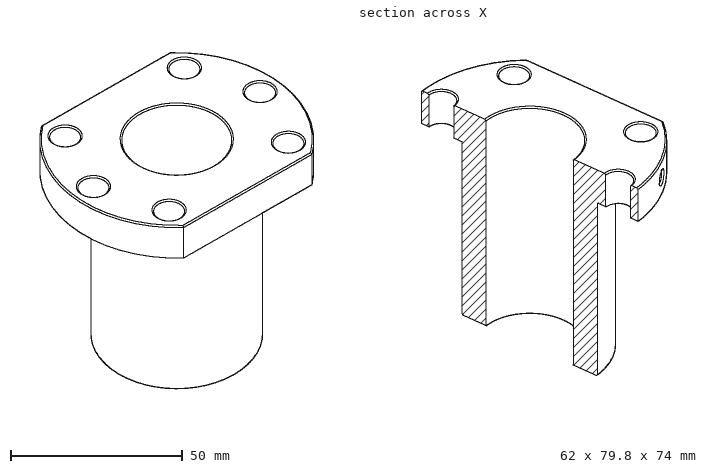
import cadquery as cq
import math

flange_diameter = 79.75
flange_width = 62.0
flange_thickness = 12.0

body_diameter = 50.0
bore_diameter = 32.0
total_height = 74.0

mount_hole_diameter = 9.0
mount_circle_diameter = 65.0
mount_hole_spacing = 44.3

oil_hole_diameter = 4.0
oil_mouth_diameter = 5.2
oil_hole_depth = 9.6
oil_hole_angle = 90.0 + mount_hole_spacing / 2

edge_chamfer = 0.5


def make_flange():
    disc = cq.Workplane("XY").circle(flange_diameter / 2).extrude(-flange_thickness)
    flats = cq.Workplane("XY").rect(flange_width, flange_diameter).extrude(-flange_thickness)
    return disc.intersect(flats).faces(">Z").chamfer(edge_chamfer)


def make_body():
    body = cq.Workplane("XY").workplane(offset=-flange_thickness).circle(body_diameter / 2)
    body = body.extrude(flange_thickness - total_height)
    return body.faces("<Z").chamfer(edge_chamfer)


def hole_cutter(diameter, depth):
    """Hole going down from Z = 0, with a chamfered mouth."""
    radius = diameter / 2
    profile = (
        cq.Workplane("XZ")
        .lineTo(radius + edge_chamfer, 0)
        .lineTo(radius, -edge_chamfer)
        .lineTo(radius, -depth)
        .lineTo(0, -depth)
        .close()
    )
    return profile.revolve(360, (0, 0), (0, 1))


def mount_hole_cutters():
    cutters = cq.Workplane("XY")
    for end_angle in (90.0, 270.0):
        for step in (-1, 0, 1):
            angle = math.radians(end_angle + step * mount_hole_spacing)
            x = mount_circle_diameter / 2 * math.cos(angle)
            y = mount_circle_diameter / 2 * math.sin(angle)
            cutter = hole_cutter(mount_hole_diameter, flange_thickness)
            cutters = cutters.add(cutter.translate((x, y, 0)))
    return cutters.combine()


def oil_port_cutter():
    """Radial hole whose conical mouth opens on the rim at mid thickness."""
    rim_radius = flange_diameter / 2
    mouth_depth = (oil_mouth_diameter - oil_hole_diameter) / 2
    profile = (
        cq.Workplane("XY")
        .moveTo(rim_radius, 0)
        .lineTo(rim_radius, oil_mouth_diameter / 2)
        .lineTo(rim_radius - mouth_depth, oil_hole_diameter / 2)
        .lineTo(rim_radius - oil_hole_depth, oil_hole_diameter / 2)
        .lineTo(rim_radius - oil_hole_depth, 0)
        .close()
    )
    port = profile.revolve(360, (0, 0), (1, 0))
    port = port.rotate((0, 0, 0), (0, 0, 1), oil_hole_angle)
    return port.translate((0, 0, -flange_thickness / 2))


result = (
    make_flange()
    .union(make_body())
    .cut(hole_cutter(bore_diameter, total_height))
    .cut(mount_hole_cutters())
    .cut(oil_port_cutter())
)